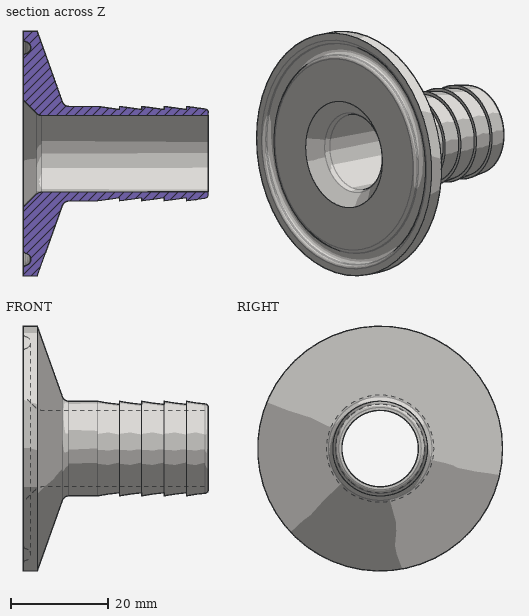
import cadquery as cq
import math


flange_diameter = 50.4
rim_width = 2.9
flange_back_slope = 19.6

total_length = 38.1
stem_diameter = 19.5
barb_root_diameter = 18.25
barb_count = 5
barb_pitch = 4.6
first_barb_start = 15.3
last_barb_start = 33.55
neck_fillet = 1.35
tip_fillet = 0.75

bore_diameter = 15.65
lead_in_diameter = 22.05
lead_in_fillet = 1.5

groove_mean_diameter = 43.6
groove_depth = 1.55
groove_floor_radius = 1.2
groove_lip_radius = 0.75
groove_wall_slope = 70.0

stem_radius = stem_diameter / 2
barb_root_radius = barb_root_diameter / 2
bore_radius = bore_diameter / 2

AXIS_START = (0, 0, 0)
AXIS_END = (1, 0, 0)


def turned(profile):
    """Revolve an (axial, radial) profile once around the X axis."""
    return profile.close().revolve(360, AXIS_START, AXIS_END)


def circle_edges_at(x, radius):
    """Selector for the circular edge of the given radius at the given axial place."""
    reach = 0.025
    return cq.selectors.BoxSelector(
        (x - reach, -radius - reach, -radius - reach),
        (x + reach, radius + reach, radius + reach),
        boundingbox=True,
    )


def make_body():
    """Flange, plain neck and barbs as one solid of revolution, with its outer fillets."""
    flange_radius = flange_diameter / 2
    neck_start = rim_width + (flange_radius - stem_radius) * math.tan(math.radians(flange_back_slope))

    profile = (
        cq.Workplane("XY")
        .lineTo(0, flange_radius)
        .lineTo(rim_width, flange_radius)
        .lineTo(neck_start, stem_radius)
        .lineTo(first_barb_start, stem_radius)
    )
    for steps_to_last in range(barb_count - 2, -1, -1):
        next_crest = last_barb_start - steps_to_last * barb_pitch
        profile = profile.lineTo(next_crest, barb_root_radius).lineTo(next_crest, stem_radius)
    profile = profile.lineTo(total_length, barb_root_radius).lineTo(total_length, 0)

    body = turned(profile)
    body = body.edges(circle_edges_at(neck_start, stem_radius)).fillet(neck_fillet)
    return body.edges(circle_edges_at(total_length, barb_root_radius)).fillet(tip_fillet)


def cut_bore(body):
    """Through bore with a rounded 45 degree lead-in."""
    lead_in_radius = lead_in_diameter / 2
    lead_in_depth = lead_in_radius - bore_radius
    cutter = turned(
        cq.Workplane("XY")
        .lineTo(0, lead_in_radius)
        .lineTo(lead_in_depth, bore_radius)
        .lineTo(total_length, bore_radius)
        .lineTo(total_length, 0)
    )
    bored = body.cut(cutter)
    return bored.edges(circle_edges_at(lead_in_depth, bore_radius)).fillet(lead_in_fillet)


def cut_gasket_groove(body):
    """Ring groove with a round floor, sloped walls and rounded lips."""
    middle = groove_mean_diameter / 2
    slope = math.radians(groove_wall_slope)

    lip_end_depth = groove_lip_radius * (1 - math.cos(slope))
    floor_edge_depth = groove_depth - groove_floor_radius * (1 - math.cos(slope))
    floor_edge = groove_floor_radius * math.sin(slope)
    lip_end = floor_edge + (floor_edge_depth - lip_end_depth) / math.tan(slope)
    mouth = lip_end + groove_lip_radius * math.sin(slope)

    lip_middle = mouth - groove_lip_radius * math.sin(slope / 2)
    lip_middle_depth = groove_lip_radius * (1 - math.cos(slope / 2))

    cutter = turned(
        cq.Workplane("XY")
        .moveTo(0, middle + mouth)
        .threePointArc((lip_middle_depth, middle + lip_middle), (lip_end_depth, middle + lip_end))
        .lineTo(floor_edge_depth, middle + floor_edge)
        .threePointArc((groove_depth, middle), (floor_edge_depth, middle - floor_edge))
        .lineTo(lip_end_depth, middle - lip_end)
        .threePointArc((lip_middle_depth, middle - lip_middle), (0, middle - mouth))
    )
    return body.cut(cutter)


result = cut_gasket_groove(cut_bore(make_body()))